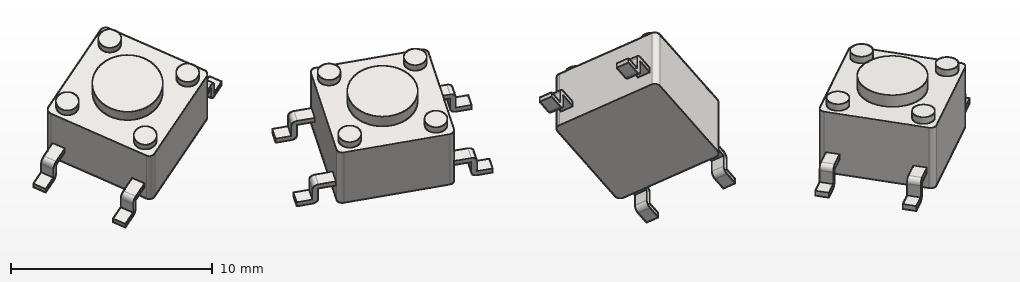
import cadquery as cq

body_side = 6.0
body_height = 3.61
body_corner_radius = 0.3
standoff = 0.1
body_top = standoff + body_height

total_height = 4.41
button_diameter = 3.5
post_diameter = 1.14
post_height = 0.4
post_offset = 2.2

lead_span = 10.0
lead_width = 0.7
lead_thickness = 0.3
lead_offset = 2.25
lead_shoulder_height = 1.31
lead_riser_outer = 4.2
lead_bend_radius = 0.3
lead_embed = 0.2


def make_body():
    block = cq.Workplane("XY").workplane(offset=standoff).rect(body_side, body_side).extrude(body_height)
    return block.edges("|Z").fillet(body_corner_radius)


def make_button():
    height = total_height - body_top
    return cq.Workplane("XY").workplane(offset=body_top).circle(button_diameter / 2).extrude(height)


def make_posts():
    spacing = 2 * post_offset
    return (
        cq.Workplane("XY")
        .workplane(offset=body_top)
        .rarray(spacing, spacing, 2, 2)
        .circle(post_diameter / 2)
        .extrude(post_height)
    )


def make_lead(x_center):
    """Z-shaped lead on the +Y side, rounded on the outside of both bends."""
    root = body_side / 2 - lead_embed
    tip = lead_span / 2
    riser_inner = lead_riser_outer - lead_thickness
    arm_underside = lead_shoulder_height - lead_thickness
    profile = (
        cq.Workplane("YZ")
        .workplane(offset=x_center - lead_width / 2)
        .moveTo(root, lead_shoulder_height)
        .lineTo(lead_riser_outer - lead_bend_radius, lead_shoulder_height)
        .radiusArc((lead_riser_outer, lead_shoulder_height - lead_bend_radius), lead_bend_radius)
        .lineTo(lead_riser_outer, lead_thickness)
        .lineTo(tip, lead_thickness)
        .lineTo(tip, 0)
        .lineTo(riser_inner + lead_bend_radius, 0)
        .radiusArc((riser_inner, lead_bend_radius), lead_bend_radius)
        .lineTo(riser_inner, arm_underside)
        .lineTo(root, arm_underside)
        .close()
    )
    return profile.extrude(lead_width)


result = make_body().union(make_button()).union(make_posts())
for x_center in (-lead_offset, lead_offset):
    lead = make_lead(x_center)
    result = result.union(lead).union(lead.mirror("XZ"))